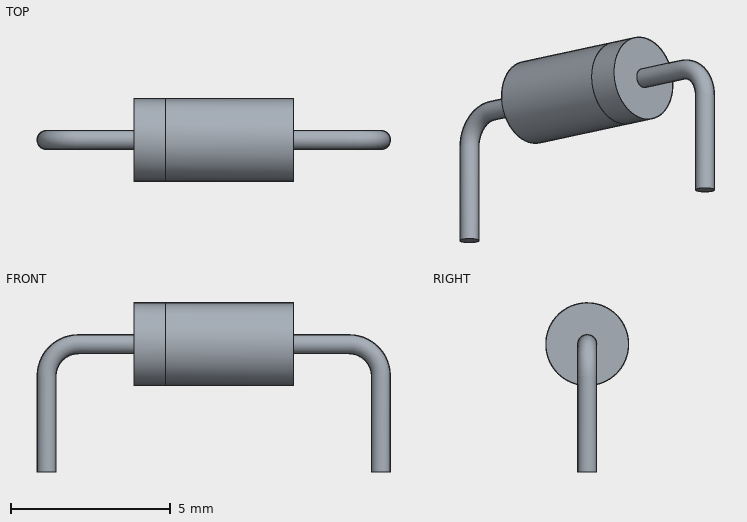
import cadquery as cq

overall_length = 11.06
body_length = 5.0
body_diameter = 2.6
band_width = 1.0
wire_diameter = 0.6
bend_radius = 1.0
leg_drop = 4.0

leg_x = (overall_length - wire_diameter) / 2
bend_x = leg_x - bend_radius
body_start_x = -body_length / 2
band_end_x = body_start_x + band_width


def make_sleeve(start_x, length):
    """Cylinder along X with a bore that fits the wire."""
    return (
        cq.Workplane("YZ", origin=(start_x, 0, 0))
        .circle(body_diameter / 2)
        .circle(wire_diameter / 2)
        .extrude(length)
    )


def make_lead_wire():
    """One round wire through the body, bent down at both ends."""
    path = (
        cq.Workplane("XZ")
        .moveTo(-leg_x, -leg_drop)
        .lineTo(-leg_x, -bend_radius)
        .tangentArcPoint((-bend_x, 0), relative=False)
        .lineTo(bend_x, 0)
        .tangentArcPoint((leg_x, -bend_radius), relative=False)
        .lineTo(leg_x, -leg_drop)
    )
    return (
        cq.Workplane("XY", origin=(-leg_x, 0, -leg_drop))
        .circle(wire_diameter / 2)
        .sweep(path)
    )


polarity_band = make_sleeve(body_start_x, band_width)
housing = make_sleeve(band_end_x, body_length - band_width)
lead_wire = make_lead_wire()

result = cq.Compound.makeCompound([housing.val(), polarity_band.val(), lead_wire.val()])